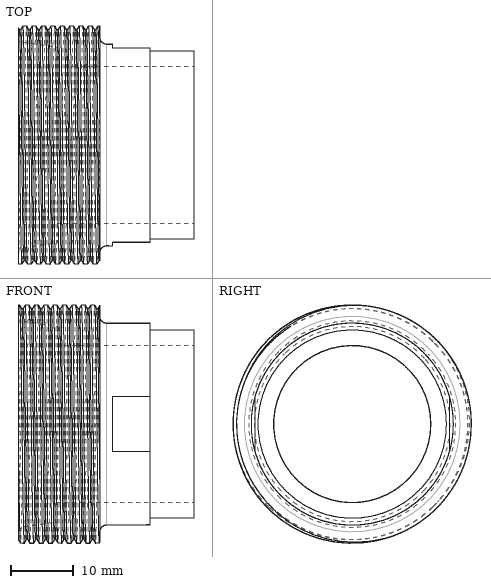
import cadquery as cq
import math

total_length = 28.0
thread_length = 13.0
flat_start = 15.0
body_end = 21.0

thread_radius = 19.0
body_radius = 16.1
tail_radius = 15.0
across_flats = 31.0
neck_fillet = 1.05

bore_radius = 12.5
socket_mouth_radius = 16.5
socket_floor_radius = 15.58
socket_depth = 6.25

thread_turns = 8.7
thread_pitch = thread_length / thread_turns
thread_depth = 0.57
root_width = 0.23
flank_half_angle = 30.0
groove_offset = 0.25
start_angle = 90.0
run_out = 1
tool_clearance = 0.2


def revolved_blank():
    """Revolve the whole wall section about the X axis."""
    arc_shift = neck_fillet * (1 - math.sqrt(0.5))
    section = (
        cq.Workplane("XY")
        .moveTo(0, socket_mouth_radius)
        .lineTo(0, thread_radius)
        .lineTo(thread_length, thread_radius)
        .lineTo(thread_length, body_radius + neck_fillet)
        .threePointArc(
            (thread_length + arc_shift, body_radius + arc_shift),
            (thread_length + neck_fillet, body_radius),
        )
        .lineTo(body_end, body_radius)
        .lineTo(body_end, tail_radius)
        .lineTo(total_length, tail_radius)
        .lineTo(total_length, bore_radius)
        .lineTo(socket_depth, bore_radius)
        .lineTo(socket_depth, socket_floor_radius)
        .close()
    )
    return section.revolve(360, (0, 0, 0), (1, 0, 0))


def wrench_flat(side):
    """Block that trims one flat; side is +1 or -1 along Y."""
    depth = thread_radius - across_flats / 2
    return (
        cq.Workplane("XY")
        .box(body_end - flat_start, depth, 2 * thread_radius, centered=(False, True, True))
        .translate((flat_start, side * (across_flats + depth) / 2, 0))
    )


def thread_groove():
    """Helical groove, swept along Z and then turned onto the X axis."""
    start = groove_offset + (start_angle / 360 - run_out) * thread_pitch
    length = thread_length + 2 * run_out * thread_pitch
    root_radius = thread_radius - thread_depth
    cutter_radius = thread_radius + tool_clearance
    half_root = root_width / 2
    half_top = half_root + (cutter_radius - root_radius) * math.tan(math.radians(flank_half_angle))
    corners = [
        (root_radius, -half_root),
        (cutter_radius, -half_top),
        (cutter_radius, half_top),
        (root_radius, half_root),
    ]
    edges = [
        cq.Wire.makeHelix(thread_pitch, length, radius).translate(cq.Vector(0, 0, height)).Edges()[0]
        for radius, height in corners
    ]
    sides = [cq.Face.makeRuledSurface(edges[i - 1], edges[i]) for i in range(len(edges))]
    ends = [
        cq.Face.makeFromWires(cq.Wire.makePolygon([edge.positionAt(at) for edge in edges], close=True))
        for at in (0, 1)
    ]
    groove = cq.Workplane(obj=cq.Solid.makeSolid(cq.Shell.makeShell(sides + ends)))
    groove = groove.rotate((0, 0, 0), (1, 1, 1), 120)
    return groove.rotate((0, 0, 0), (1, 0, 0), start_angle).translate((start, 0, 0))


result = revolved_blank()
for side in (-1, 1):
    result = result.cut(wrench_flat(side))
result = result.cut(thread_groove())